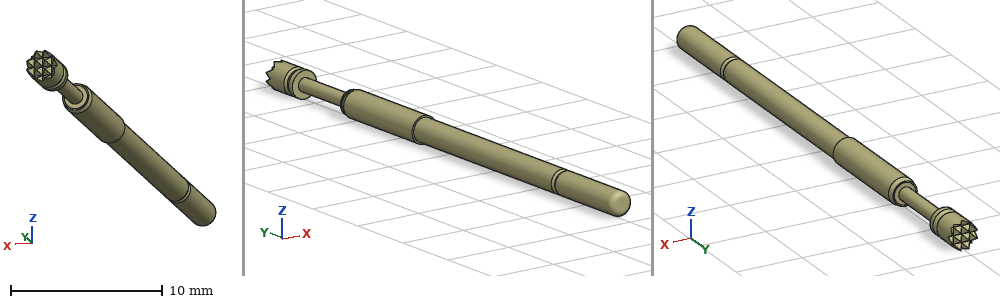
import cadquery as cq


axis_start = (0, 0, 0)
axis_end = (0, 1, 0)

total_length = 38.3
head_length = 3.0
exposed_shaft_length = 5.2
collar_length = 8.1
head_start = total_length - head_length
collar_front = head_start - exposed_shaft_length
collar_back = collar_front - collar_length

head_radius = 1.0
shaft_radius = 0.5
collar_radius = 1.0
barrel_radius = 0.875

tail_round = 0.4

collar_lip_radius = 0.9
collar_lip_length = 0.05
collar_neck_radius = 0.8
collar_taper_length = 0.45
collar_neck = collar_front - collar_lip_length

head_groove_start = head_start + 0.42
head_groove_bottom = head_groove_start + 0.32
head_groove_end = head_groove_start + 0.52
head_groove_depth = 0.13

crimp_center = 6.5
crimp_width = 0.44
crimp_depth = 0.12

tooth_pitch = 0.61
tooth_depth = 0.5
cuts_per_direction = 3


def make_body():
    """Revolve the half profile of the whole probe about the Y axis."""
    crimp_start = crimp_center - crimp_width / 2
    crimp_end = crimp_center + crimp_width / 2
    return (
        cq.Workplane("XY")
        .moveTo(0, 0)
        .lineTo(barrel_radius - tail_round, 0)
        .radiusArc((barrel_radius, tail_round), -tail_round)
        .lineTo(barrel_radius, crimp_start)
        .lineTo(barrel_radius - crimp_depth, crimp_center)
        .lineTo(barrel_radius, crimp_end)
        .lineTo(barrel_radius, collar_back)
        .lineTo(collar_radius, collar_back)
        .lineTo(collar_radius, collar_neck - collar_taper_length)
        .lineTo(collar_neck_radius, collar_neck)
        .lineTo(collar_lip_radius, collar_neck)
        .lineTo(collar_lip_radius, collar_front)
        .lineTo(shaft_radius, collar_front)
        .lineTo(shaft_radius, head_start)
        .lineTo(head_radius, head_start)
        .lineTo(head_radius, head_groove_start)
        .lineTo(head_radius - head_groove_depth, head_groove_bottom)
        .lineTo(head_radius, head_groove_end)
        .lineTo(head_radius, total_length)
        .lineTo(0, total_length)
        .close()
        .revolve(360, axis_start, axis_end)
    )


def make_tooth_cut(offset):
    """V-shaped bar running along Z, centred at X = offset, opening at the head face."""
    half_pitch = tooth_pitch / 2
    return (
        cq.Workplane("XY")
        .moveTo(offset - half_pitch, total_length)
        .lineTo(offset, total_length - tooth_depth)
        .lineTo(offset + half_pitch, total_length)
        .close()
        .extrude(2 * head_radius, both=True)
    )


def cut_teeth(body):
    """Cut the parallel V-cuts in both cross directions, leaving a grid of points."""
    for index in range(cuts_per_direction):
        offset = (index - (cuts_per_direction - 1) / 2) * tooth_pitch
        cut_along_z = make_tooth_cut(offset)
        cut_along_x = cut_along_z.rotate(axis_start, axis_end, 90)
        body = body.cut(cut_along_z).cut(cut_along_x)
    return body


result = cut_teeth(make_body())